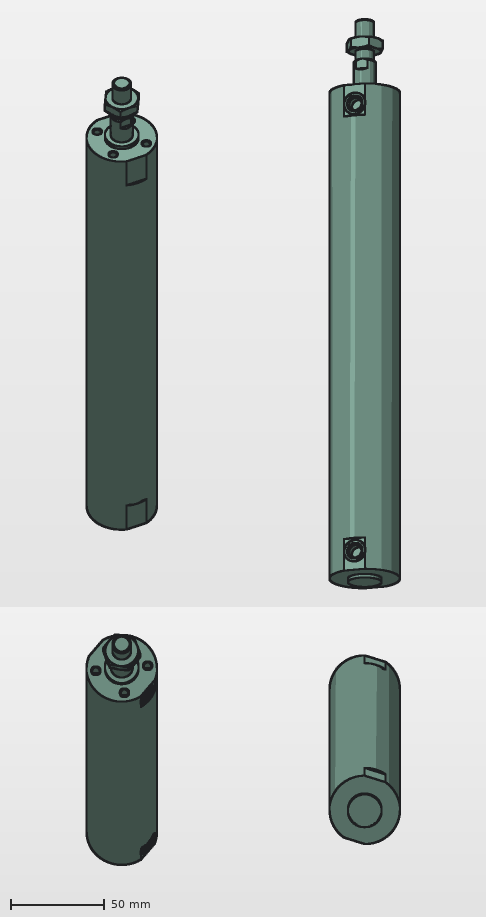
import cadquery as cq
import math


total_length = 313.0
rod_projection = 40.0
boss_height = 2.0
lower_face_z = boss_height
upper_face_z = total_length - rod_projection
upper_boss_z = upper_face_z + boss_height

barrel_diameter = 38.0
boss_diameter = 18.0
flat_width = 12.0
flat_length = 17.5
flat_x = math.sqrt((barrel_diameter / 2) ** 2 - (flat_width / 2) ** 2)

port_diameter = 7.0
port_mouth_diameter = 8.8
port_depth = 6.3
port_mouth_depth = (port_mouth_diameter - port_diameter) / 2
spotface_diameter = 12.0
spotface_depth = 0.3
port_inset = 10.5

mount_hole_spacing = 19.7
mount_hole_diameter = 4.0
mount_mouth_diameter = 5.0
mount_mouth_depth = (mount_mouth_diameter - mount_hole_diameter) / 2
mount_hole_depth = 9.5

rod_diameter = 12.0
thread_diameter = 10.0
thread_length = 22.2
tip_diameter = 8.5
tip_chamfer = (thread_diameter - tip_diameter) / 2
shoulder_chamfer = (rod_diameter - thread_diameter) / 2
shoulder_z = total_length - thread_length
wrench_across_flats = 10.0
wrench_flat_length = 5.3
wrench_flat_depth = (rod_diameter - wrench_across_flats) / 2

nut_across_flats = 17.5
nut_across_corners = nut_across_flats / math.cos(math.pi / 6)
nut_height = 6.0
nut_corner_overhang = (nut_across_corners - nut_across_flats) / 2
nut_corner_drop = nut_corner_overhang * math.tan(math.pi / 6)
nut_top_z = total_length - 11.0


def cylinder(diameter, bottom_z, top_z):
    return cq.Workplane("XY").workplane(offset=bottom_z).circle(diameter / 2).extrude(top_z - bottom_z)


def side_flats(bottom_z):
    """Blocks that cut the flats on the +X and -X sides at one end."""
    block_depth = barrel_diameter / 2
    blocks = cq.Workplane("XY")
    for side in (-1, 1):
        block = cq.Workplane("XY").box(block_depth, barrel_diameter, flat_length, centered=(True, True, False))
        blocks = blocks.add(block.translate((side * (flat_x + block_depth / 2), 0, bottom_z)))
    return blocks.combine()


def port_cutter(axis_z):
    """Spotface, countersunk mouth and blind bore of one port, turned about an axis along X."""
    mouth_x = spotface_depth
    bore_x = mouth_x + port_mouth_depth
    profile = [
        (0, 0),
        (0, spotface_diameter / 2),
        (mouth_x, spotface_diameter / 2),
        (mouth_x, port_mouth_diameter / 2),
        (bore_x, port_diameter / 2),
        (port_depth, port_diameter / 2),
        (port_depth, 0),
    ]
    cutter = cq.Workplane("XY").polyline(profile).close().revolve(360, (0, 0, 0), (1, 0, 0))
    return cutter.translate((-flat_x, 0, axis_z))


def mount_hole_cutter():
    """Blind hole with a countersunk mouth, going down from z = 0."""
    profile = [
        (0, 0),
        (mount_mouth_diameter / 2, 0),
        (mount_hole_diameter / 2, -mount_mouth_depth),
        (mount_hole_diameter / 2, -mount_hole_depth),
        (0, -mount_hole_depth),
    ]
    return cq.Workplane("XZ").polyline(profile).close().revolve(360, (0, 0, 0), (0, 1, 0))


def make_housing():
    body = cylinder(barrel_diameter, lower_face_z, upper_face_z)
    body = body.union(cylinder(boss_diameter, 0, upper_boss_z))
    for flat_bottom_z in (lower_face_z, upper_face_z - flat_length):
        body = body.cut(side_flats(flat_bottom_z))
    for port_z in (lower_face_z + port_inset, upper_face_z - port_inset):
        body = body.cut(port_cutter(port_z))
    for x_side in (-1, 1):
        for y_side in (-1, 1):
            hole_place = (x_side * mount_hole_spacing / 2, y_side * mount_hole_spacing / 2, upper_face_z)
            body = body.cut(mount_hole_cutter().translate(hole_place))
    return body


def make_rod():
    shank = cylinder(rod_diameter, upper_boss_z, shoulder_z).faces(">Z").chamfer(shoulder_chamfer)
    flat_bottom_z = shoulder_z - wrench_flat_length
    outside = rod_diameter / 2
    flat_plane = wrench_across_flats / 2
    cut_profile = [
        (flat_plane, shoulder_z),
        (flat_plane, flat_bottom_z),
        (outside, flat_bottom_z - wrench_flat_depth),
        (outside, shoulder_z),
    ]
    flat_cutter = cq.Workplane("XZ").polyline(cut_profile).close().extrude(outside, both=True)
    shank = shank.cut(flat_cutter).cut(flat_cutter.mirror("YZ"))
    thread = cylinder(thread_diameter, shoulder_z, total_length).faces(">Z").chamfer(tip_chamfer)
    return shank.union(thread)


def make_nut():
    hexagon = (
        cq.Workplane("XY")
        .workplane(offset=nut_top_z - nut_height)
        .polygon(6, nut_across_corners)
        .extrude(nut_height)
        .rotate((0, 0, 0), (0, 0, 1), 30)
    )
    envelope = cylinder(nut_across_corners, nut_top_z - nut_height, nut_top_z)
    envelope = envelope.faces("<Z or >Z").chamfer(nut_corner_drop, nut_corner_overhang)
    return hexagon.intersect(envelope).cut(cylinder(thread_diameter, nut_top_z - nut_height, nut_top_z))


housing = make_housing()
rod = make_rod()
nut = make_nut()

result = cq.Compound.makeCompound([housing.val(), rod.val(), nut.val()])